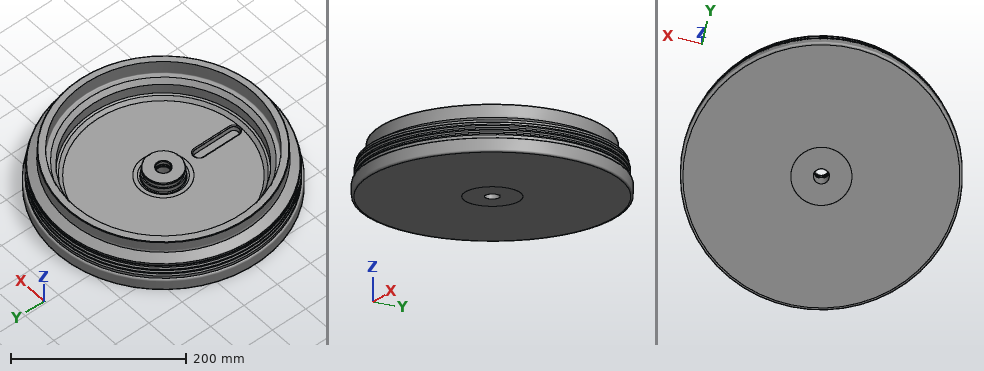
import cadquery as cq
import math

outer_radius = 161.0
height = 63.0

bumper_height = 17.0
bumper_seat_radius = 158.0
bumper_top_width = 0.3
bumper_rounding = outer_radius - bumper_seat_radius - bumper_top_width
bumper_foot_rounding = 2.0

seat_top = 21.0
rib_crest_radius = 158.0
rib_root_radius = 156.58
rib_crest_heights = (26.55, 32.2)
rib_half_width = 2.0
rib_land_top = 36.5
shoulder_radius = 156.0
shoulder_chamfer = 0.5
shoulder_top = 40.2
neck_foot_radius = 144.5
neck_radius = 144.03
neck_foot_height = 46.5
neck_foot_top = 48.5

rim_chamfer = 0.8
rim_bevel_drop = 0.3
rim_flat_radius = 141.0
mouth_radius = 134.37
mouth_fillet = 1.3
ledge_radius = 128.7
ledge_height = 42.8
bowl_radius = 122.5
bowl_top = 37.3
bowl_foot = 23.0
bowl_lip_radius = 119.7
bowl_lip_height = 22.0
floor_radius = 115.0
floor_height = 18.0

slot_width = 17.5
slot_inner_end = -45.0
slot_outer_end = -114.5
slot_depth = 6.5
slot_edge = 1.3
slot_wall_inset = 1.3

hub_radius = 34.92
recess_radius = 29.5
recess_bottom_radius = 27.0
recess_depth = 1.3
boss_foot_radius = 26.0
boss_foot_bottom = 18.0
boss_foot_top = 23.8
boss_groove_radius = 24.3
boss_lip_radius = 24.95
boss_lip_bottom = 29.3
boss_top = 32.2
bore_radius = 9.0
bore_groove_radius = 10.0
bore_groove_bottom = 22.5
bore_groove_top = 25.7


def revolve_profile(profile):
    """Turn a closed outline of (radius, height) around the Z axis."""
    return profile.close().revolve(360, (0, 0, 0), (0, 1, 0))


def make_slot_cutter():
    """Round-ended slot with a bevelled mouth and tapered walls."""
    length = slot_inner_end - slot_outer_end
    middle = (slot_inner_end + slot_outer_end) / 2
    wall_taper = math.degrees(math.atan2(slot_wall_inset, slot_depth))
    mouth = (
        cq.Workplane("XY", origin=(0, middle, floor_height))
        .slot2D(length, slot_width, 90)
        .extrude(-slot_edge, taper=45)
    )
    shaft = (
        cq.Workplane("XY", origin=(0, middle, floor_height))
        .slot2D(length - 2 * slot_edge, slot_width - 2 * slot_edge, 90)
        .extrude(-slot_depth, taper=wall_taper)
    )
    return mouth.union(shaft)


def make_housing():
    """Ribbed round housing with a stepped bowl, a hub hole and a slot."""
    profile = (
        cq.Workplane("XZ")
        .moveTo(hub_radius, 0)
        .lineTo(bumper_seat_radius, 0)
        .lineTo(bumper_seat_radius, seat_top)
        .lineTo(rib_root_radius, seat_top + rib_half_width)
    )
    for crest in rib_crest_heights:
        profile = (
            profile.lineTo(rib_root_radius, crest - rib_half_width)
            .lineTo(rib_crest_radius, crest)
            .lineTo(rib_root_radius, crest + rib_half_width)
        )
    profile = (
        profile.lineTo(rib_root_radius, rib_land_top)
        .lineTo(shoulder_radius, rib_land_top + shoulder_chamfer)
        .lineTo(shoulder_radius, shoulder_top - shoulder_chamfer)
        .lineTo(shoulder_radius - shoulder_chamfer, shoulder_top)
        .lineTo(neck_foot_radius, neck_foot_height)
        .lineTo(neck_radius, neck_foot_top)
        .lineTo(neck_radius, height - rim_bevel_drop - rim_chamfer)
        .lineTo(neck_radius - rim_chamfer, height - rim_bevel_drop)
        .lineTo(rim_flat_radius, height)
        .lineTo(mouth_radius, height)
        .lineTo(mouth_radius, ledge_height + mouth_fillet)
        .radiusArc((mouth_radius - mouth_fillet, ledge_height), mouth_fillet)
        .lineTo(ledge_radius, ledge_height)
        .lineTo(bowl_radius, bowl_top)
        .lineTo(bowl_radius, bowl_foot)
        .lineTo(bowl_lip_radius, bowl_lip_height)
        .lineTo(floor_radius, floor_height)
        .lineTo(hub_radius, floor_height)
    )
    return revolve_profile(profile).cut(make_slot_cutter())


def make_bumper():
    """Ring with rounded outer edges, fitted on the foot of the housing."""
    profile = (
        cq.Workplane("XZ")
        .moveTo(bumper_seat_radius, 0)
        .lineTo(outer_radius - bumper_foot_rounding, 0)
        .radiusArc((outer_radius, bumper_foot_rounding), -bumper_foot_rounding)
        .lineTo(outer_radius, bumper_height - bumper_rounding)
        .radiusArc((outer_radius - bumper_rounding, bumper_height), -bumper_rounding)
        .lineTo(bumper_seat_radius, bumper_height)
    )
    return revolve_profile(profile)


def make_hub():
    """Hub flush with the floor, with a grooved boss and a grooved bore."""
    recess_bottom = floor_height - recess_depth
    bore_chamfer = bore_groove_radius - bore_radius
    profile = (
        cq.Workplane("XZ")
        .moveTo(bore_radius, 0)
        .lineTo(hub_radius, 0)
        .lineTo(hub_radius, floor_height)
        .lineTo(recess_radius, floor_height)
        .lineTo(recess_bottom_radius, recess_bottom)
        .lineTo(boss_foot_radius, boss_foot_bottom)
        .lineTo(boss_foot_radius, boss_foot_top)
        .lineTo(boss_groove_radius, boss_foot_top)
        .lineTo(boss_groove_radius, boss_lip_bottom)
        .lineTo(boss_lip_radius, boss_lip_bottom)
        .lineTo(boss_lip_radius, boss_top)
        .lineTo(bore_radius + bore_chamfer, boss_top)
        .lineTo(bore_radius, boss_top - bore_chamfer)
        .lineTo(bore_radius, bore_groove_top)
        .lineTo(bore_groove_radius, bore_groove_top)
        .lineTo(bore_groove_radius, bore_groove_bottom)
        .lineTo(bore_radius, bore_groove_bottom)
    )
    return revolve_profile(profile)


housing = make_housing()
bumper = make_bumper()
hub = make_hub()

result = cq.Compound.makeCompound([housing.val(), bumper.val(), hub.val()])